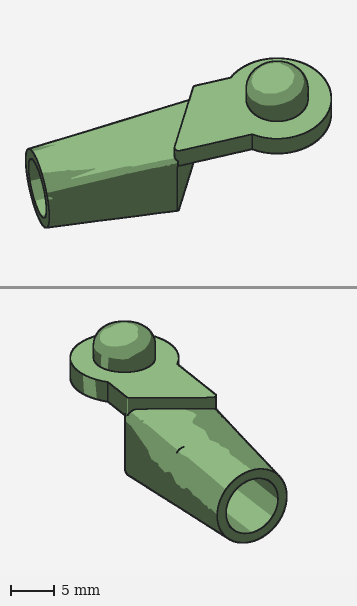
import cadquery as cq
import math

eye_radius = 6.3
plate_thickness = 2.6
neck_left = -4.7
neck_right = 4.5
neck_corner_radius = 0.5

stud_radius = 3.6
stud_height = 3.7
stud_round = 2.0

total_length = 35.35
mouth_radius = 4.7
mouth_y = eye_radius - total_length
total_height = 14.5
socket_z = stud_height - total_height + mouth_radius
back_half_width = 4.72
back_half_height = 4.65
back_corner_radius = 1.15
back_center_y = -10.8
slant = math.radians(30)
mouth_corner_start = math.radians(39)

neck_overlap = 0.53
neck_end_y = back_center_y - neck_overlap / math.cos(slant)

bore_radius = 3.5
bore_depth = 11.0
pilot_radius = 2.97
pilot_length = 1.0
cone_slope = math.tan(math.radians(30))


def slant_y(center_y, x):
    """Y at a given X on a slanted line that crosses X = 0 at center_y."""
    return center_y - x * math.tan(slant)


def make_plate():
    eye = cq.Workplane("XY").circle(eye_radius).extrude(-plate_thickness)
    end_box_low = (-eye_radius, mouth_y, -plate_thickness)
    end_box_high = (eye_radius, -eye_radius, 0)
    neck = (
        cq.Workplane("XY")
        .polyline([
            (neck_left, 0),
            (neck_right, 0),
            (neck_right, slant_y(neck_end_y, neck_right)),
            (neck_left, slant_y(neck_end_y, neck_left)),
        ])
        .close()
        .extrude(-plate_thickness)
        .edges("|Z")
        .edges(cq.selectors.BoxSelector(end_box_low, end_box_high))
        .fillet(neck_corner_radius)
    )
    return eye.union(neck)


def make_stud():
    stud = cq.Workplane("XY").circle(stud_radius).extrude(stud_height)
    return stud.faces(">Z").edges().fillet(stud_round)


def back_point(across, up):
    """Point on the slanted back plane, from its offsets along the plane and upward."""
    x = across * math.cos(slant)
    return cq.Vector(x, slant_y(back_center_y, x), socket_z + up)


def mouth_point(angle):
    x = mouth_radius * math.cos(angle)
    return cq.Vector(x, mouth_y, socket_z + mouth_radius * math.sin(angle))


def back_wire():
    half_length = back_half_width / math.cos(slant)
    corner_x = half_length - back_corner_radius
    corner_z = back_half_height - back_corner_radius
    edges = []
    previous_end = back_point(half_length, -corner_z)
    for quarter, (side_x, side_z) in enumerate([(1, 1), (-1, 1), (-1, -1), (1, -1)]):
        arc_points = []
        for step in range(3):
            angle = (quarter + step / 2) * math.pi / 2
            arc_points.append(back_point(
                side_x * corner_x + back_corner_radius * math.cos(angle),
                side_z * corner_z + back_corner_radius * math.sin(angle),
            ))
        edges.append(cq.Edge.makeLine(previous_end, arc_points[0]))
        edges.append(cq.Edge.makeThreePointArc(*arc_points))
        previous_end = arc_points[-1]
    return cq.Wire.assembleEdges(edges)


def mouth_wire():
    """Mouth circle split into eight arcs that pair with the sides and corners of the back."""
    edges = []
    for quarter in range(4):
        side_angle = quarter * math.pi / 2
        corner_start = side_angle + mouth_corner_start
        corner_middle = side_angle + math.pi / 4
        corner_end = side_angle + math.pi / 2 - mouth_corner_start
        edges.append(cq.Edge.makeThreePointArc(
            mouth_point(side_angle - mouth_corner_start),
            mouth_point(side_angle),
            mouth_point(corner_start),
        ))
        edges.append(cq.Edge.makeThreePointArc(
            mouth_point(corner_start),
            mouth_point(corner_middle),
            mouth_point(corner_end),
        ))
    return cq.Wire.assembleEdges(edges)


def make_socket():
    return cq.Workplane(cq.Solid.makeLoft([back_wire(), mouth_wire()], True))


def make_bore():
    shoulder_start = mouth_y + bore_depth
    shoulder_end = shoulder_start + (bore_radius - pilot_radius) * cone_slope
    pilot_end = shoulder_end + pilot_length
    half_profile = (
        cq.Workplane("XY", origin=(0, 0, socket_z))
        .polyline([
            (0, mouth_y),
            (bore_radius, mouth_y),
            (bore_radius, shoulder_start),
            (pilot_radius, shoulder_end),
            (pilot_radius, pilot_end),
            (0, pilot_end + pilot_radius * cone_slope),
        ])
        .close()
    )
    return half_profile.revolve(360, (0, 0, 0), (0, 1, 0))


result = make_plate().union(make_stud()).union(make_socket()).cut(make_bore())